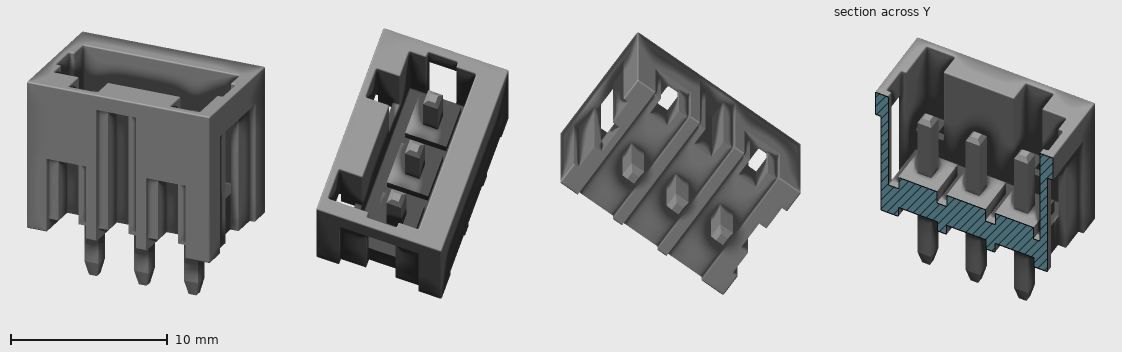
import cadquery as cq

LENGTH = 12.9
WIDTH = 8.5
HEIGHT = 10.3
EDGE_RADIUS = 0.1
SELECT_MARGIN = 0.01

PIN_COUNT = 3
PIN_PITCH = 3.5
ROW_CENTER_X = -0.15
ROW_CENTER_Y = 0.1
PIN_SIZE = 1.0
PIN_TOP = 8.25
PIN_BOTTOM = -4.5
PIN_TOP_FLAT = 0.5
PIN_TOP_TAPER = 0.3
PIN_TIP_FLAT = 0.55
PIN_TIP_TAPER = 1.0

CAVITY_HALF_LENGTH = 5.48
CAVITY_BACK_Y = 2.36
CAVITY_FRONT_Y = -2.15
FLOOR_Z = 2.5
PAD_SIZE = 2.8
PAD_HEIGHT = 1.0

LATCH_WIDTH = 2.0
LATCH_END_X = 5.84
WINDOW_TOP = 8.3
END_RECESS_WIDTH = 5.4
END_RECESS_DEPTH = 0.4

NOTCH_FLOOR_Z = 4.27
NOTCH_FRONT_Y = -3.75
LEFT_NOTCH_X = (-3.7, -1.7)
RIGHT_NOTCH_X = (3.45, CAVITY_HALF_LENGTH)

GROOVE_STEP_DEPTH = 0.35
GROOVE_DEPTH = 1.62
GROOVE_INNER_WIDTH = 1.42
SIDE_GROOVE_TOP = 5.15
MIDDLE_GROOVE_TOP = 9.27
CHANNEL_HEIGHT = 0.8

FRONT_Y = -WIDTH / 2
ROW_MIDDLE = (PIN_COUNT - 1) / 2
PIN_XS = [ROW_CENTER_X + (i - ROW_MIDDLE) * PIN_PITCH for i in range(PIN_COUNT)]


def block(x_range, y_range, z_range):
    """Axis-aligned box spanning the given ranges."""
    sizes = [high - low for low, high in (x_range, y_range, z_range)]
    corner = (x_range[0], y_range[0], z_range[0])
    return cq.Workplane("XY").box(*sizes, centered=False).translate(corner)


def span(center, size):
    """Range of the given size about a center."""
    return (center - size / 2, center + size / 2)


def notch(x_range):
    """Keying notch reaching into the cavity, with rounded front corners and floor edges."""
    space = block(x_range, (NOTCH_FRONT_Y, 0), (NOTCH_FLOOR_Z, HEIGHT))
    space = space.edges("|Z and <Y").fillet(EDGE_RADIUS)
    side_edges = space.faces("<Z").edges("|Y")
    return side_edges.fillet(EDGE_RADIUS)


def cavity():
    """Mating cavity with latch slots and keying notches, edges rounded."""
    deep_z = (FLOOR_Z, HEIGHT)
    space = block(
        (-CAVITY_HALF_LENGTH, CAVITY_HALF_LENGTH), (CAVITY_FRONT_Y, CAVITY_BACK_Y), deep_z
    )
    space = space.union(block((-LATCH_END_X, LATCH_END_X), span(0, LATCH_WIDTH), deep_z))
    space = space.edges("|Z").fillet(EDGE_RADIUS)
    space = space.faces("<Z").edges().fillet(EDGE_RADIUS)
    for x_range in (LEFT_NOTCH_X, RIGHT_NOTCH_X):
        space = space.union(notch(x_range))
    mouth_edges = cq.selectors.BoxSelector(
        (LEFT_NOTCH_X[0] - EDGE_RADIUS, CAVITY_FRONT_Y - SELECT_MARGIN, NOTCH_FLOOR_Z - SELECT_MARGIN),
        (RIGHT_NOTCH_X[1], CAVITY_FRONT_Y + SELECT_MARGIN, HEIGHT - SELECT_MARGIN),
    )
    return space.edges(mouth_edges).fillet(EDGE_RADIUS)


def round_rim(body):
    """Round the inner rim of the cavity at the top of the housing."""
    rim = body.faces(">Z").val().innerWires()[0]
    return body.newObject(rim.Edges()).fillet(EDGE_RADIUS)


def end_openings(side):
    """Outer recess and latch window in one end wall; side is -1 or +1."""
    outer_x = side * LENGTH / 2
    recess_x = sorted((outer_x, outer_x - side * END_RECESS_DEPTH))
    window_x = sorted((outer_x, side * CAVITY_HALF_LENGTH))
    opening_z = (0, WINDOW_TOP)
    recess = block(recess_x, span(0, END_RECESS_WIDTH), opening_z)
    return recess.union(block(window_x, span(0, LATCH_WIDTH), opening_z))


def front_groove(x, top):
    """Two-step groove in the front face, open at the bottom."""
    step = block(span(x, PAD_SIZE), (FRONT_Y, FRONT_Y + GROOVE_STEP_DEPTH), (0, top))
    inner = block(span(x, GROOVE_INNER_WIDTH), (FRONT_Y, FRONT_Y + GROOVE_DEPTH), (0, top))
    return step.union(inner)


def underside_channel(x):
    """Channel running front to back under one contact."""
    return block(span(x, PAD_SIZE), span(0, WIDTH), (0, CHANNEL_HEIGHT))


def pad(x):
    """Raised square pad around one contact, sunk into the floor to join it."""
    pad_z = (CHANNEL_HEIGHT, FLOOR_Z + PAD_HEIGHT)
    return block(span(x, PAD_SIZE), span(ROW_CENTER_Y, PAD_SIZE), pad_z)


def taper(z_start, z_end, end_size):
    """Square frustum narrowing from the pin section to end_size."""
    frustum = cq.Workplane("XY", origin=(0, 0, z_start)).rect(PIN_SIZE, PIN_SIZE)
    frustum = frustum.workplane(offset=z_end - z_start).rect(end_size, end_size)
    return frustum.loft(ruled=True)


def pin(x):
    """Square contact pin with tapered ends."""
    shank_z = (PIN_BOTTOM + PIN_TIP_TAPER, PIN_TOP - PIN_TOP_TAPER)
    contact = block(span(0, PIN_SIZE), span(0, PIN_SIZE), shank_z)
    contact = contact.union(taper(shank_z[1], PIN_TOP, PIN_TOP_FLAT))
    contact = contact.union(taper(shank_z[0], PIN_BOTTOM, PIN_TIP_FLAT))
    return contact.translate((x, ROW_CENTER_Y, 0))


housing = block(span(0, LENGTH), span(0, WIDTH), (0, HEIGHT)).edges().fillet(EDGE_RADIUS)
housing = round_rim(housing.cut(cavity()))

for side in (-1, 1):
    housing = housing.cut(end_openings(side))

for index, pin_x in enumerate(PIN_XS):
    groove_top = MIDDLE_GROOVE_TOP if index == ROW_MIDDLE else SIDE_GROOVE_TOP
    housing = housing.cut(front_groove(pin_x, groove_top))
    housing = housing.cut(underside_channel(pin_x))

result = housing
for pin_x in PIN_XS:
    result = result.union(pad(pin_x)).union(pin(pin_x))